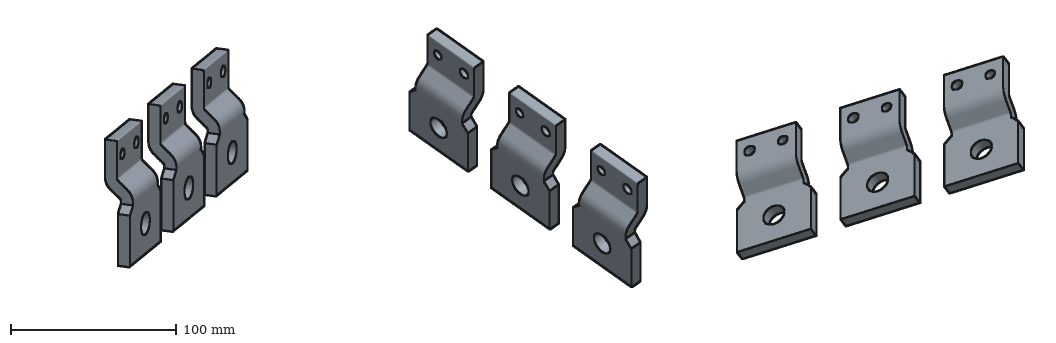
import cadquery as cq
import math

total_length = 190.0
height = 78.0
bracket_count = 3

plate_width = 50.0
tab_width = 40.0
shoulder_height = 33.2
shoulder_chamfer = (plate_width - tab_width) / 2
pitch = (total_length - plate_width) / (bracket_count - 1)

depth = 18.5
thickness = 8.0
bend_angle = math.radians(50)
inner_radius = 1.9
outer_radius = inner_radius + thickness
tab_straight = 24.0
edge_radius = 1.0

main_hole_diameter = 14.0
main_hole_height = 20.1
large_tab_hole_diameter = 7.0
small_tab_hole_diameter = 6.3
tab_hole_offset = 11.2
tab_hole_height = height - 11.0

offset = depth - thickness
radius_sum = inner_radius + outer_radius
web_length = (offset - radius_sum * (1 - math.cos(bend_angle))) / math.sin(bend_angle)
bend_height = radius_sum * math.sin(bend_angle) + web_length * math.cos(bend_angle)
upper_bend_z = height - tab_straight
lower_bend_z = upper_bend_z - bend_height


def bend_point(center_x, center_z, radius, angle):
    """Point on a bend arc; angle is measured from the +X direction."""
    return center_x + radius * math.cos(angle), center_z + radius * math.sin(angle)


def joggled_strip():
    """Strip with two opposite bends, extruded over the full plate width."""
    upper_center = (outer_radius, upper_bend_z)
    lower_center = (offset - inner_radius, lower_bend_z)
    upper_end = math.pi + bend_angle
    upper_middle = math.pi + bend_angle / 2
    lower_end = bend_angle
    lower_middle = bend_angle / 2
    strip = (
        cq.Workplane("XZ")
        .moveTo(offset, 0)
        .lineTo(depth, 0)
        .lineTo(depth, lower_bend_z)
        .threePointArc(
            bend_point(*lower_center, outer_radius, lower_middle),
            bend_point(*lower_center, outer_radius, lower_end),
        )
        .lineTo(*bend_point(*upper_center, inner_radius, upper_end))
        .threePointArc(
            bend_point(*upper_center, inner_radius, upper_middle),
            (thickness, upper_bend_z),
        )
        .lineTo(thickness, height)
        .lineTo(0, height)
        .lineTo(0, upper_bend_z)
        .threePointArc(
            bend_point(*upper_center, outer_radius, upper_middle),
            bend_point(*upper_center, outer_radius, upper_end),
        )
        .lineTo(*bend_point(*lower_center, inner_radius, lower_end))
        .threePointArc(
            bend_point(*lower_center, inner_radius, lower_middle),
            (offset, lower_bend_z),
        )
        .close()
        .extrude(plate_width / 2, both=True)
    )
    top_rear_edge = strip.faces(">Z").edges(">X")
    bottom_rear_edge = strip.faces("<Z").edges(">X")
    return strip.newObject(top_rear_edge.vals() + bottom_rear_edge.vals()).fillet(edge_radius)


def outline_block():
    """Block with the bracket's front outline: wide plate, sloped shoulders, narrow tab."""
    half_plate = plate_width / 2
    half_tab = tab_width / 2
    neck_height = shoulder_height + shoulder_chamfer
    return (
        cq.Workplane("YZ")
        .polyline([
            (-half_plate, 0),
            (half_plate, 0),
            (half_plate, shoulder_height),
            (half_tab, neck_height),
            (half_tab, height),
            (-half_tab, height),
            (-half_tab, neck_height),
            (-half_plate, shoulder_height),
        ])
        .close()
        .extrude(depth)
    )


def through_hole(diameter, y, z):
    """Cylinder along X that cuts a hole right through the bracket."""
    return cq.Workplane("YZ").center(y, z).circle(diameter / 2).extrude(depth)


def make_bracket():
    """One bracket, centred on Y = 0."""
    return (
        joggled_strip()
        .intersect(outline_block())
        .cut(through_hole(main_hole_diameter, 0, main_hole_height))
        .cut(through_hole(large_tab_hole_diameter, tab_hole_offset, tab_hole_height))
        .cut(through_hole(small_tab_hole_diameter, -tab_hole_offset, tab_hole_height))
    )


brackets = []
for index in range(bracket_count):
    y_position = (index - (bracket_count - 1) / 2) * pitch
    brackets.append(make_bracket().translate((0, y_position, 0)).val().Solids()[0])

result = cq.Compound.makeCompound(brackets)